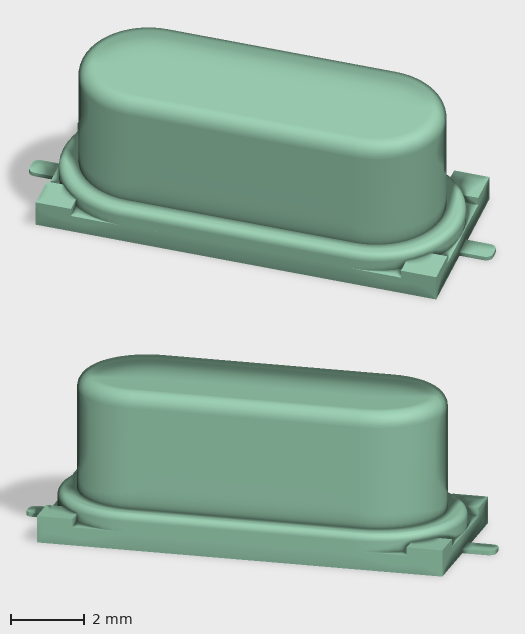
import cadquery as cq

overall_length = 13.2
overall_height = 4.3

base_length = 11.4
base_width = 4.8
floor_height = 0.51
corner_height = 0.75
corner_size = 1.0

lead_length = (overall_length - base_length) / 2
lead_width = 0.61
lead_thickness = 0.12
lead_corner_radius = 0.2

flange_length = 11.37
flange_width = 4.8
flange_top = 1.02
flange_round = 0.2
cap_length = 10.3
cap_width = 3.8
cap_round = 0.4


def racetrack(length, width, bottom, top):
    """Upright prism with straight sides and semicircular ends."""
    return cq.Workplane("XY").workplane(offset=bottom).slot2D(length, width).extrude(top - bottom)


def make_can():
    flange = racetrack(flange_length, flange_width, floor_height, flange_top)
    flange = flange.faces(">Z").edges().fillet(flange_round)
    cap = racetrack(cap_length, cap_width, floor_height, overall_height)
    cap = cap.faces(">Z").edges().fillet(cap_round)
    return flange.union(cap)


def make_lead(side):
    """Lead at one end: side is -1 for the -X end and +1 for the +X end."""
    lead = cq.Workplane("XY").box(lead_length, lead_width, lead_thickness, centered=(True, True, False))
    outer_end = ">X" if side > 0 else "<X"
    lead = lead.faces(outer_end).edges("|Z").fillet(lead_corner_radius)
    return lead.translate((side * (base_length + lead_length) / 2, 0, 0))


def make_base():
    base = cq.Workplane("XY").box(base_length, base_width, floor_height, centered=(True, True, False))

    corners = (
        cq.Workplane("XY")
        .rarray(base_length - corner_size, base_width - corner_size, 2, 2)
        .rect(corner_size, corner_size)
        .extrude(corner_height)
    )
    base = base.union(corners)

    base = base.cut(racetrack(flange_length, flange_width, floor_height, flange_top))

    for side in (-1, 1):
        base = base.union(make_lead(side))
    return base


can = make_can()
base = make_base()

result = cq.Compound.makeCompound([can.val(), base.val()])